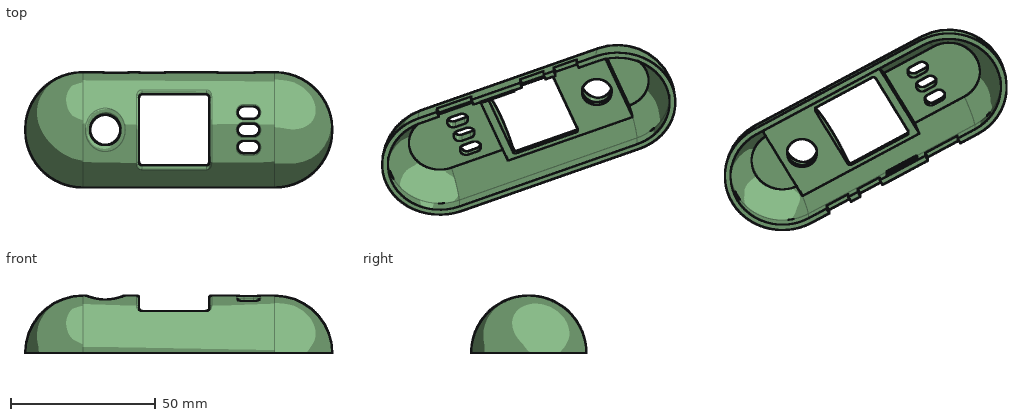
import cadquery as cq

LENGTH = 106.5
RADIUS = 20.0
STRAIGHT = LENGTH - 2 * RADIUS

WALL = 1.5
CEILING_Z = 15.1
LIP_WALL = 2.0

PAD_Z = 12.2
PAD_START = -STRAIGHT / 2
PAD_END = 13.4

WINDOW_X = -1.6
WINDOW_LENGTH = 24.2
WINDOW_WIDTH = 24.5
WINDOW_CORNER = 1.0
WINDOW_ROUND = 1.0

HOLE_X = -25.5
HOLE_DIAMETER = 10.3
HOLE_MOUTH_DIAMETER = 10.6
HOLE_STEP_Z = 14.3
HOLE_ROUND = 1.6

SLOT_X = 24.2
SLOT_LENGTH = 7.5
SLOT_WIDTH = 4.2
SLOT_PITCH = 6.0
SLOT_COUNT = 3
SLOT_ROUND = 0.5

NOTCHES = [(-26.0, -17.4), (-13.5, -4.8), (13.4, 26.3)]
NOTCH_HEIGHT = 2.8

TAB_START = -1.7
TAB_END = 10.3
TAB_BOTTOM = 0.4
TAB_TOP = 3.0
TAB_DEPTH = 0.6


def half_capsule(radius):
    """Upper half of a round-ended bar lying along X."""
    profile = (
        cq.Workplane("XY")
        .moveTo(-STRAIGHT / 2 - radius, 0)
        .radiusArc((-STRAIGHT / 2, radius), radius)
        .lineTo(STRAIGHT / 2, radius)
        .radiusArc((STRAIGHT / 2 + radius, 0), radius)
        .close()
    )
    return profile.revolve(180, (0, 0, 0), (1, 0, 0))


def cavity():
    """Inner half capsule, narrowed to the lip width and cut flat at the ceiling and the pad."""
    lip_radius = RADIUS - LIP_WALL
    limit = cq.Workplane("XY").slot2D(STRAIGHT + 2 * lip_radius, 2 * lip_radius).extrude(CEILING_Z)
    pad_size = (PAD_END - PAD_START, 2 * RADIUS, RADIUS - PAD_Z)
    pad = cq.Workplane("XY", origin=(PAD_START, -RADIUS, PAD_Z)).box(*pad_size, centered=False)
    return half_capsule(RADIUS - WALL).intersect(limit).cut(pad)


def window():
    blank = cq.Workplane("XY", origin=(WINDOW_X, 0, 0)).rect(WINDOW_LENGTH, WINDOW_WIDTH)
    return blank.extrude(RADIUS).edges("|Z").fillet(WINDOW_CORNER)


def round_hole(diameter, bottom):
    return cq.Workplane("XY", origin=(HOLE_X, 0, bottom)).circle(diameter / 2).extrude(RADIUS)


def vent_slot(y):
    return cq.Workplane("XY", origin=(SLOT_X, y, 0)).slot2D(SLOT_LENGTH, SLOT_WIDTH).extrude(RADIUS)


def cut_rounded(body, cutter, rounding):
    """Cut an upright opening and round its rim on the outer surface."""
    opened = body.cut(cutter)
    box = cutter.val().BoundingBox()
    margin = 0.1
    around_rim = cq.selectors.BoxSelector(
        (box.xmin - margin, box.ymin - margin, box.zmin + margin),
        (box.xmax + margin, box.ymax + margin, RADIUS + margin),
        boundingbox=True,
    )
    rim = opened.edges(around_rim).edges("not |Z")
    return opened.newObject(rim.vals()).fillet(rounding)


def edge_notch(start, end):
    """Slot through the +Y wall, open at the bottom edge."""
    inner_y = RADIUS / 2
    size = (end - start, RADIUS - inner_y, NOTCH_HEIGHT)
    return cq.Workplane("XY", origin=(start, inner_y, 0)).box(*size, centered=False)


def wall_tab():
    """Low block standing inward from the +Y lip, sunk halfway into the lip for a sound joint."""
    size = (TAB_END - TAB_START, TAB_DEPTH + LIP_WALL / 2, TAB_TOP - TAB_BOTTOM)
    face_y = RADIUS - LIP_WALL - TAB_DEPTH
    return cq.Workplane("XY", origin=(TAB_START, face_y, TAB_BOTTOM)).box(*size, centered=False)


result = half_capsule(RADIUS)
result = cut_rounded(result, window(), WINDOW_ROUND)
result = cut_rounded(result, round_hole(HOLE_MOUTH_DIAMETER, HOLE_STEP_Z), HOLE_ROUND)
result = result.cut(round_hole(HOLE_DIAMETER, 0))
for index in range(SLOT_COUNT):
    slot_y = (index - (SLOT_COUNT - 1) / 2) * SLOT_PITCH
    result = cut_rounded(result, vent_slot(slot_y), SLOT_ROUND)

result = result.cut(cavity()).union(wall_tab())
for notch_start, notch_end in NOTCHES:
    result = result.cut(edge_notch(notch_start, notch_end))